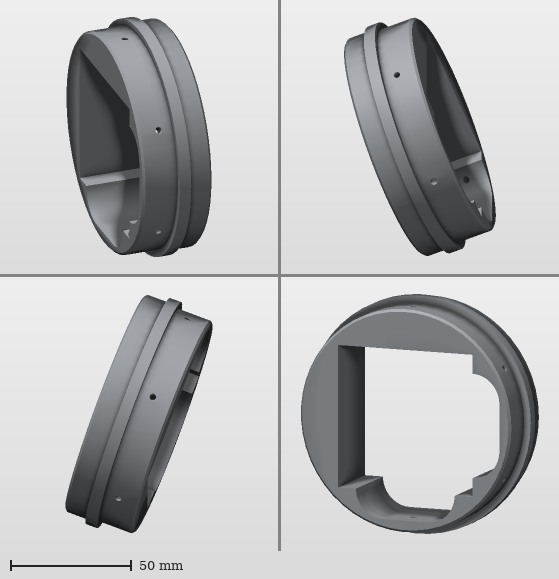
import cadquery as cq
import math

FLANGE_RADIUS = 50.0
FRONT_RADIUS = 47.0
BACK_RADIUS = 48.0
FRONT_LENGTH = 15.0
FLANGE_LENGTH = 5.0
BACK_LENGTH = 10.0
TOTAL_LENGTH = FRONT_LENGTH + FLANGE_LENGTH + BACK_LENGTH
EDGE_CHAMFER = 1.0

OPENING_SIDE = 60.0
LOBE_RADIUS = 12.0
LOBE_WIDTH = 44.0
LOBE_REACH = OPENING_SIDE / 2 + LOBE_RADIUS

HOLE_COUNT = 6
HOLE_DIAMETER = 2.5
MOUTH_DIAMETER = 3.0
HOLE_DEPTH = 10.0
DRILL_POINT_ANGLE = 118.0
HOLE_Y = 9.0


def disc(radius, start, length):
    """Cylinder along Y, reaching from start to start + length."""
    return cq.Workplane("XZ", origin=(0, start, 0)).circle(radius).extrude(-length)


def lobe():
    """Straight-through relief on the right of the opening, with its outer corners rounded."""
    depth = 2 * LOBE_RADIUS
    return (
        cq.Workplane("XY")
        .box(depth, TOTAL_LENGTH, LOBE_WIDTH)
        .edges("|Y and >X")
        .fillet(LOBE_RADIUS)
        .translate((LOBE_REACH - depth / 2, TOTAL_LENGTH / 2, 0))
    )


def radial_hole(angle):
    """Countersunk blind hole with a drill point, turned about Y from the upward direction."""
    radius = HOLE_DIAMETER / 2
    floor = FRONT_RADIUS - HOLE_DEPTH
    tip = floor - radius / math.tan(math.radians(DRILL_POINT_ANGLE / 2))
    mouth_radius = MOUTH_DIAMETER / 2
    mouth_floor = FRONT_RADIUS - (mouth_radius - radius)
    profile = [
        (0, tip),
        (radius, floor),
        (radius, mouth_floor),
        (mouth_radius, FRONT_RADIUS),
        (mouth_radius, FLANGE_RADIUS),
        (0, FLANGE_RADIUS),
    ]
    hole = cq.Workplane("XZ").polyline(profile).close().revolve(360, (0, 0), (0, 1))
    return hole.translate((0, HOLE_Y, 0)).rotate((0, 0, 0), (0, 1, 0), angle)


front_step = disc(FRONT_RADIUS, 0, FRONT_LENGTH).faces("<Y").chamfer(EDGE_CHAMFER)
flange = disc(FLANGE_RADIUS, FRONT_LENGTH, FLANGE_LENGTH)
back_step = disc(BACK_RADIUS, FRONT_LENGTH + FLANGE_LENGTH, BACK_LENGTH)
back_step = back_step.faces(">Y").chamfer(EDGE_CHAMFER)
body = front_step.union(flange).union(back_step)

opening = (
    cq.Workplane("XY")
    .box(OPENING_SIDE, TOTAL_LENGTH, OPENING_SIDE)
    .translate((0, TOTAL_LENGTH / 2, 0))
)
right_lobe = lobe()
bottom_lobe = lobe().rotate((0, 0, 0), (0, 1, 0), 90)
body = body.cut(opening).cut(right_lobe).cut(bottom_lobe)

for index in range(HOLE_COUNT):
    body = body.cut(radial_hole(index * 360 / HOLE_COUNT))

result = body